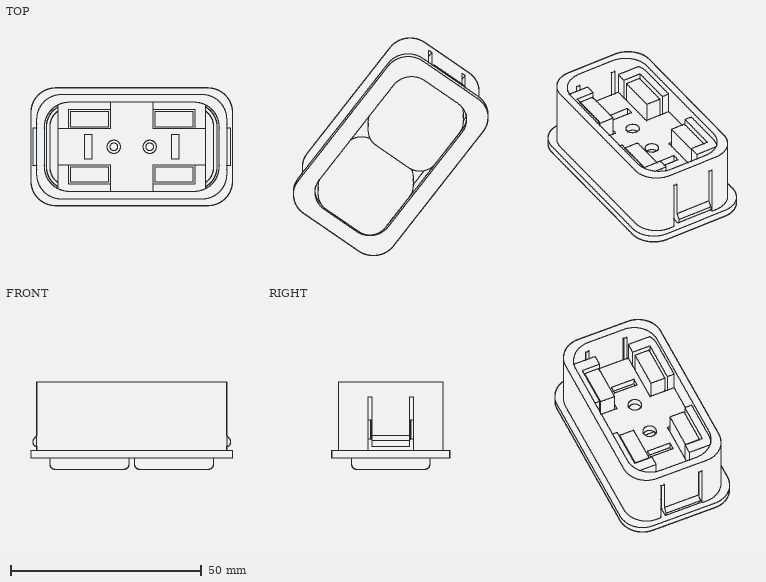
import cadquery as cq

flange_length = 53.0
flange_width = 31.0
flange_thickness = 2.0
wall_length = 49.9
wall_width = 27.45
wall_thickness = 2.0
wall_height = 17.95
outer_corner_radius = 6.5

button_length = 20.85
button_width = 20.65
button_gap = 1.4
button_corner_radius = 5.05
button_projection = 3.0
button_edge_fillet = 1.5
button_height = 8.0
button_clearance = 0.85

plate_length = 38.75
plate_thickness = 2.0
plate_depth = 8.0
guide_depth = 2.0
guide_end_x = 5.55
guide_side_y = 4.75
guide_pocket_length = 11.0
guide_pocket_width = 5.0

post_clearance = 0.5
post_step = 1.0

slot_length = 6.45
slot_width = 2.0
slot_x = 11.45
light_hole_x = 4.7
plate_hole_diameter = 3.5
button_hole_diameter = 2.0
button_hole_depth = 5.0

latch_width = 9.85
latch_slit_width = 1.0
latch_slit_height = 14.0
latch_bottom_gap = 1.0
lug_height = 2.95
lug_reach = 1.0
lug_flat_bottom = 1.1
lug_flat_top = 1.65

flange_bottom = button_projection
flange_top = flange_bottom + flange_thickness
rim_top = flange_top + wall_height
plate_top = rim_top - plate_depth
plate_bottom = plate_top - plate_thickness
guide_top = rim_top - guide_depth
post_top = guide_top - post_step

cavity_length = wall_length - 2 * wall_thickness
cavity_width = wall_width - 2 * wall_thickness
cavity_corner_radius = outer_corner_radius
opening_length = 2 * button_length + button_gap + 2 * button_clearance
opening_width = button_width + 2 * button_clearance
opening_corner_radius = button_corner_radius + button_clearance

button_x = (button_length + button_gap) / 2
pocket_x = guide_end_x + guide_pocket_length / 2
pocket_y = guide_side_y + guide_pocket_width / 2
guide_length = plate_length / 2 - guide_end_x
guide_width = cavity_width / 2 - guide_side_y
post_length = guide_pocket_length - 2 * post_clearance
post_width = guide_pocket_width - 2 * post_clearance

sides = (-1, 1)
corners = [(sx, sy) for sx in sides for sy in sides]


def block(length, width, bottom, top, x=0.0, y=0.0):
    """Rectangular block centred on (x, y) between two levels."""
    return (
        cq.Workplane("XY", origin=(x, y, bottom))
        .rect(length, width)
        .extrude(top - bottom)
    )


def rounded_block(length, width, radius, bottom, top, x=0.0):
    """Block with rounded vertical edges."""
    return block(length, width, bottom, top, x).edges("|Z").fillet(radius)


def cylinder(diameter, bottom, top, x):
    """Vertical cylinder on the X axis line."""
    return cq.Workplane("XY", origin=(x, 0, bottom)).circle(diameter / 2).extrude(top - bottom)


def make_shell():
    """Flange and surrounding wall, open right through."""
    flange = rounded_block(flange_length, flange_width, outer_corner_radius, flange_bottom, flange_top)
    wall = rounded_block(wall_length, wall_width, outer_corner_radius, flange_top, rim_top)
    opening = rounded_block(opening_length, opening_width, opening_corner_radius, flange_bottom, flange_top)
    cavity = rounded_block(cavity_length, cavity_width, cavity_corner_radius, flange_top, rim_top)
    return flange.union(wall).cut(opening).cut(cavity)


def make_plate():
    """Cross plate with L-shaped post guides, trimmed to the cavity outline."""
    plate = block(plate_length, cavity_width, plate_bottom, plate_top)
    for sx, sy in corners:
        guide_x = sx * (guide_end_x + guide_length / 2)
        guide_y = sy * (guide_side_y + guide_width / 2)
        plate = plate.union(block(guide_length, guide_width, plate_bottom, guide_top, guide_x, guide_y))
    for sx, sy in corners:
        plate = plate.cut(
            block(guide_pocket_length, guide_pocket_width, plate_bottom, guide_top, sx * pocket_x, sy * pocket_y)
        )
    for side in sides:
        plate = plate.cut(block(slot_width, slot_length, plate_bottom, plate_top, side * slot_x))
        plate = plate.cut(cylinder(plate_hole_diameter, plate_bottom, plate_top, side * light_hole_x))
    cavity = rounded_block(cavity_length, cavity_width, cavity_corner_radius, plate_bottom, rim_top)
    return plate.intersect(cavity)


def cut_latch_slits(housing, side):
    """Free a snap tongue in an end wall: a slit on each edge and a gap below it."""
    slit_depth = (wall_length - plate_length) / 2
    slit_x = side * (wall_length - slit_depth) / 2
    slit_y = (latch_width + latch_slit_width) / 2
    slit_top = flange_top + latch_slit_height
    for edge in sides:
        housing = housing.cut(
            block(slit_depth, latch_slit_width, flange_top, slit_top, slit_x, edge * slit_y)
        )
    tongue_bottom = flange_top + latch_bottom_gap
    return housing.cut(block(slit_depth, latch_width, flange_top, tongue_bottom, slit_x))


def make_lug(side):
    """Snap lug at the foot of a tongue: sloped above, rounded below."""
    root_x = side * wall_length / 2
    tip_x = root_x + side * lug_reach
    lug_bottom = flange_top + latch_bottom_gap
    return (
        cq.Workplane("XZ", origin=(0, latch_width / 2, 0))
        .moveTo(root_x, lug_bottom)
        .lineTo(root_x, lug_bottom + lug_height)
        .lineTo(tip_x, lug_bottom + lug_flat_top)
        .lineTo(tip_x, lug_bottom + lug_flat_bottom)
        .tangentArcPoint((root_x, lug_bottom), relative=False)
        .close()
        .extrude(latch_width)
    )


def make_housing():
    housing = make_shell().union(make_plate())
    for side in sides:
        housing = cut_latch_slits(housing, side)
        housing = housing.union(make_lug(side))
    return housing


def make_button(side):
    """Push button with two guide posts and a blind light hole in its back."""
    button = rounded_block(
        button_length, button_width, button_corner_radius, 0, button_height, side * button_x
    )
    button = button.faces("<Z").edges().fillet(button_edge_fillet)
    for sy in sides:
        button = button.union(
            block(post_length, post_width, button_height, post_top, side * pocket_x, sy * pocket_y)
        )
    hole_bottom = button_height - button_hole_depth
    return button.cut(cylinder(button_hole_diameter, hole_bottom, button_height, side * light_hole_x))


housing = make_housing()
buttons = [make_button(side) for side in sides]

result = cq.Compound.makeCompound([housing.val(), *[button.val() for button in buttons]])